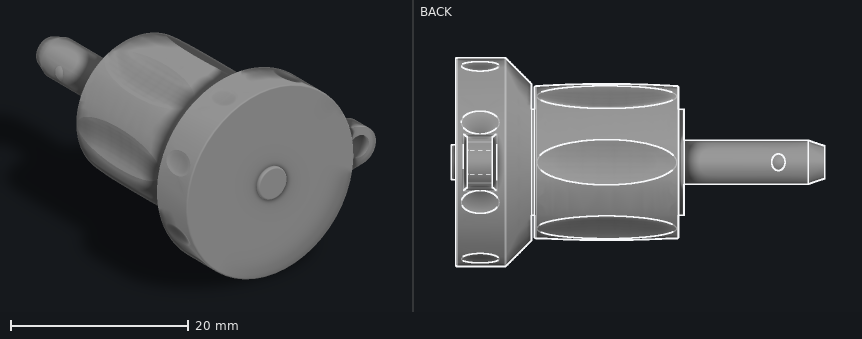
import cadquery as cq
import math

overall_length = 42.2

shank_radius = 2.5
tip_radius = 1.85
tip_length = 1.9
ball_radius = 1.22
ball_x = 5.25
ball_protrusion = 0.26

collar_radius = 6.0
collar_x = 15.9

barrel_start_x = 16.5
barrel_end_x = 32.8
barrel_end_radius = 8.6
barrel_mid_radius = 8.86
barrel_edge_round = 0.2
flute_count = 6
flute_floor_radius = 7.95
flute_section_radius = 6.5
flute_sweep_radius = 47.0

head_start_x = 33.1
head_rim_x = 36.07
head_end_x = 41.7
head_radius = 11.8
head_start_radius = head_radius - (head_rim_x - head_start_x)
head_edge_round = 0.2
dimple_count = 8
dimple_x = 38.92
dimple_depth = 0.3
dimple_section_radius = 4.6
dimple_sweep_radius = 7.7

button_radius = 2.0
button_edge_round = 0.2

lug_thickness = 2.8
lug_x = 38.95
lug_tip_y = 15.89
lug_radius = 2.36
lug_hole_radius = 1.38
lug_flare_angle = math.radians(14)
lug_root_y = 10.0
lug_fillet = 0.5


def disc(start_x, end_x, radius):
    """Solid cylinder on the X axis between two X positions."""
    return cq.Workplane("YZ", origin=(start_x, 0, 0)).circle(radius).extrude(end_x - start_x)


def scoop(center_x, floor_radius, section_radius, sweep_radius, angle):
    """Torus whose outermost line touches the floor radius at the given angle about X."""
    torus = cq.Solid.makeTorus(
        sweep_radius - section_radius,
        section_radius,
        cq.Vector(center_x, -floor_radius - sweep_radius, 0),
        cq.Vector(0, 0, 1),
    )
    return cq.Workplane(torus).rotate((0, 0, 0), (1, 0, 0), angle)


def make_shank():
    """Straight shank with a tapered tip and two locking balls on the Y axis."""
    profile = [
        (0, 0),
        (0, tip_radius),
        (tip_length, shank_radius),
        (collar_x, shank_radius),
        (collar_x, 0),
    ]
    shank = cq.Workplane("XY").polyline(profile).close().revolve(360, (0, 0, 0), (1, 0, 0))
    ball_y = shank_radius + ball_protrusion - ball_radius
    for side in (-1, 1):
        ball = cq.Workplane("XY", origin=(ball_x, side * ball_y, 0)).sphere(ball_radius)
        shank = shank.union(ball)
    return shank


def make_barrel():
    """Slightly bulged barrel with scooped flutes around it."""
    barrel_mid_x = (barrel_start_x + barrel_end_x) / 2
    barrel = (
        cq.Workplane("XY")
        .moveTo(barrel_start_x, 0)
        .lineTo(barrel_start_x, barrel_end_radius)
        .threePointArc((barrel_mid_x, barrel_mid_radius), (barrel_end_x, barrel_end_radius))
        .lineTo(barrel_end_x, 0)
        .close()
        .revolve(360, (0, 0, 0), (1, 0, 0))
        .faces("<X or >X")
        .edges()
        .fillet(barrel_edge_round)
    )
    for index in range(flute_count):
        angle = index * 360 / flute_count
        flute = scoop(barrel_mid_x, flute_floor_radius, flute_section_radius, flute_sweep_radius, angle)
        barrel = barrel.cut(flute)
    return barrel


def make_lug():
    """Tapered tether lug with a rounded end, centred on the XY plane."""
    center_y = lug_tip_y - lug_radius
    tangent_y = center_y + lug_radius * math.sin(lug_flare_angle)
    tangent_z = lug_radius * math.cos(lug_flare_angle)
    root_z = tangent_z + (tangent_y - lug_root_y) * math.tan(lug_flare_angle)
    return (
        cq.Workplane("YZ", origin=(lug_x - lug_thickness / 2, 0, 0))
        .moveTo(lug_root_y, -root_z)
        .lineTo(tangent_y, -tangent_z)
        .threePointArc((lug_tip_y, 0), (tangent_y, tangent_z))
        .lineTo(lug_root_y, root_z)
        .close()
        .extrude(lug_thickness)
    )


def make_head():
    """Flared head with its tether lug and shallow dimples."""
    profile = [
        (head_start_x, 0),
        (head_start_x, head_start_radius),
        (head_rim_x, head_radius),
        (head_end_x, head_radius),
        (head_end_x, 0),
    ]
    head = (
        cq.Workplane("XZ")
        .polyline(profile)
        .close()
        .revolve(360, (0, 0, 0), (1, 0, 0))
        .edges(cq.selectors.RadiusNthSelector(-1))
        .fillet(head_edge_round)
    )

    head = head.union(make_lug())
    joint_zone = cq.selectors.BoxSelector(
        (head_rim_x + lug_fillet, lug_root_y, -head_radius / 2),
        (head_end_x - lug_fillet, head_radius + lug_fillet / 2, head_radius / 2),
    )
    head = head.edges(joint_zone).fillet(lug_fillet)

    for index in range(dimple_count):
        angle = (index + 0.5) * 360 / dimple_count
        floor_radius = head_radius - dimple_depth
        head = head.cut(scoop(dimple_x, floor_radius, dimple_section_radius, dimple_sweep_radius, angle))

    eye_start_x = lug_x - lug_thickness
    eye = (
        cq.Workplane("YZ", origin=(eye_start_x, lug_tip_y - lug_radius, 0))
        .circle(lug_hole_radius)
        .extrude(2 * lug_thickness)
    )
    return head.cut(eye)


def make_button():
    """Low release button with a rounded edge."""
    return disc(head_end_x, overall_length, button_radius).faces(">X").edges().fillet(button_edge_round)


core = disc(collar_x, head_start_x, collar_radius)
result = make_shank().union(core).union(make_barrel()).union(make_head()).union(make_button())